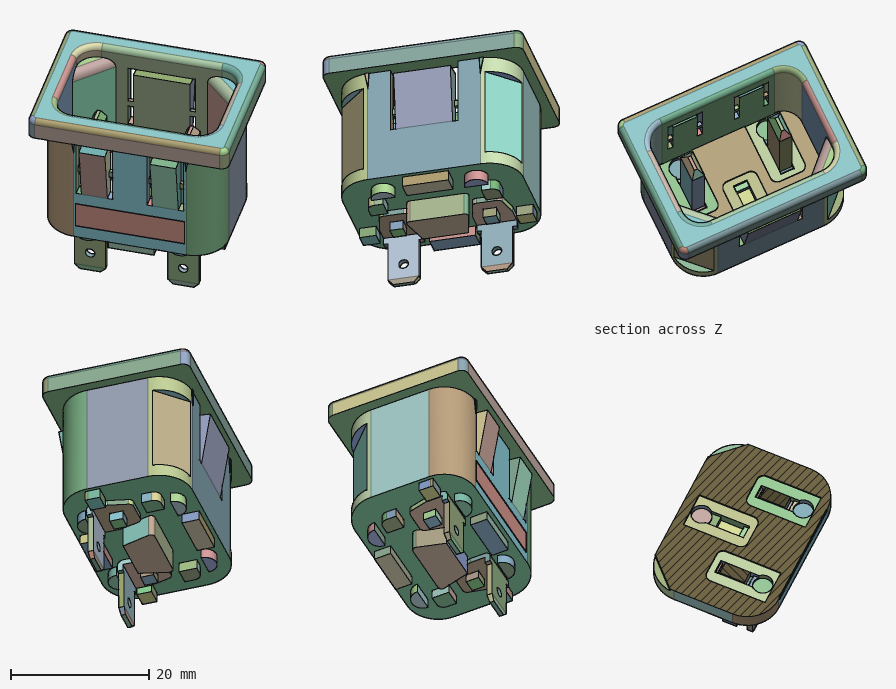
import cadquery as cq


FLANGE_X, FLANGE_Y, FLANGE_T = 30.0, 22.5, 3.2
FLANGE_CORNER_R = 1.15
FLANGE_EDGE_R = 0.75

SHELL_X, SHELL_Y, SHELL_CORNER_R = 27.02, 19.45, 5.05
CAVITY_X, CAVITY_Y, CAVITY_CORNER_R = 24.0, 16.2, 3.0
CAVITY_RIM_R = 0.82
BOTTOM_Z = -21.3
FLOOR_T = 2.57
FLOOR_Z = BOTTOM_Z + FLOOR_T
SHELL_FRONT = SHELL_Y / 2
CAVITY_FRONT = CAVITY_Y / 2

KEY_FACE_SUM = 15.0
KEY_TOP_Z = -2.0
KEY_EDGE_R = 1.33
CORNER_POCKET_SUM = 18.8
CORNER_POCKET_TOP_Z, CORNER_POCKET_BOTTOM_Z = -5.65, -19.35

WINDOW_BOTTOM_Z = -13.33
SNAP_GAP = 0.8
FRONT_SNAP_X, FRONT_SNAP_W = 5.32, 3.9
REAR_SNAP_W = 8.52
SNAP_REACH = 11.1
SNAP_TIP_OUTER_Z, SNAP_TIP_INNER_Z = -4.65, -4.3
WEB_TOP_Z, WEB_BOTTOM_Z, WEB_T = -9.2, -10.15, 0.6

LABEL_X, LABEL_Z, LABEL_DEPTH = 16.32, 4.05, 0.1
LABEL_TOP_Z = -15.3

CRUSH_RIB_INNER_X, CRUSH_RIB_OUTER_X, CRUSH_RIB_POINT_X = 8.25, 8.88, 8.4
CRUSH_RIB_H = 0.15
CRUSH_RIB_LEN = 2.63

PIN_SPACING = 13.95
PIN_XS = (-PIN_SPACING / 2, PIN_SPACING / 2)
PIN_Y = -2.05
PIN_X, PIN_LEN = 2.0, 4.0

PANEL_W, PANEL_END, PANEL_CORNER_R, PANEL_DEPTH = 5.45, 1.63, 1.03, 0.3
KEYHOLE_Y, KEYHOLE_R, KEYHOLE_R_DEPTH = 6.5, 1.5, 0.9
KEYHOLE_W, KEYHOLE_END, KEYHOLE_DEPTH = 2.12, 0.65, 0.6
LEDGE_END, LEDGE_LEN, LEDGE_DEPTH = 0.4, 4.93, 0.45
EARTH_POCKET_Y, EARTH_POCKET_LEN = 2.02, 3.7
EARTH_POCKET_DEPTH = 0.9

BOSS_H = 1.57
HALF_BOSS_R, BOSS_FLAT_Y = 1.75, 6.47
STRIP_X, STRIP_END = 6.9, 9.1
FOOT_INNER_X, FOOT_W, FOOT_END, FOOT_INSET = 10.5, 2.5, 5.1, 0.5
FRONT_FOOT_LEN = 2.25
REAR_FOOT_OUTER_X, REAR_FOOT_LEN, REAR_FOOT_R = 9.85, 2.7, 1.15
BLOCK_H, BLOCK_HALF_Y = 3.55, 2.55
BLOCK_FRONT_HALF_X, BLOCK_REAR_HALF_X, BLOCK_R = 3.4, 4.85, 0.6

PIN_TIP_Z, PIN_TAPER = -4.5, 1.5
PIN_TIP_X, PIN_TIP_LEN = 0.48, 2.2
PIN_TAIL_LEN, PIN_TAIL_DROP = 2.0, 2.25

TAB_T = 0.85
TAB_FRONT_Y = -5.92
TAB_BOTTOM_Z = -30.22
BLADE_W = 4.68
SHOULDER_W, SHOULDER_DROP = 5.98, 1.87
BEND_R = 0.9
PLATE_TAPER_Y, PLATE_END_Y, PLATE_END_W, PLATE_END_R = -2.75, 0.8, 4.23, 0.75
TIP_H, TIP_CORNER, TIP_FACE = 0.85, 0.8, 0.1
HOLE_D, HOLE_Z = 1.42, -27.0


def box(x_size, y_min, y_max, z_min, z_max, x=0.0):
    """Block centred on x, given by its limits along Y and Z."""
    centre = (x, (y_min + y_max) / 2, (z_min + z_max) / 2)
    return cq.Workplane().box(x_size, y_max - y_min, z_max - z_min).translate(centre)


def rounded_block(x_size, y_size, corner_r, z_min, z_max):
    block = box(x_size, -y_size / 2, y_size / 2, z_min, z_max)
    return block.edges("|Z").fillet(corner_r)


def corner_prism(face_sum, z_min, z_max):
    """Triangular prism covering the +X +Y corner behind the plane x + y = face_sum."""
    far = SHELL_X
    outline = [(face_sum - far, far), (far, far), (far, face_sum - far)]
    return cq.Workplane().workplane(offset=z_min).polyline(outline).close().extrude(z_max - z_min)


def both_sides(shape):
    return shape.union(shape.mirror("YZ"))


def front_and_rear(shape):
    return shape.union(shape.mirror("XZ"))



def shell():
    flange = rounded_block(FLANGE_X, FLANGE_Y, FLANGE_CORNER_R, -FLANGE_T, 0)
    flange = flange.faces(">Z").edges().fillet(FLANGE_EDGE_R)
    body = rounded_block(SHELL_X, SHELL_Y, SHELL_CORNER_R, BOTTOM_Z, -FLANGE_T)
    cavity = rounded_block(CAVITY_X, CAVITY_Y, CAVITY_CORNER_R, FLOOR_Z, 0)
    hollow = flange.union(body).cut(cavity)
    rim = hollow.faces(">Z").val().innerWires()[0]
    return hollow.newObject(rim.Edges()).fillet(CAVITY_RIM_R)


def corner_keys():
    key = corner_prism(KEY_FACE_SUM, FLOOR_Z, KEY_TOP_Z)
    key = key.faces(">Z").edges("<(1, 1, 0)").fillet(KEY_EDGE_R)
    inside = rounded_block(SHELL_X, SHELL_Y, SHELL_CORNER_R, FLOOR_Z, KEY_TOP_Z)
    return both_sides(key.intersect(inside))


def corner_pockets():
    pocket = corner_prism(CORNER_POCKET_SUM, CORNER_POCKET_BOTTOM_Z, CORNER_POCKET_TOP_Z)
    return both_sides(pocket)


def snap_window(x, arm_w):
    """Opening through the front wall around one snap arm."""
    return box(arm_w + 2 * SNAP_GAP, -SHELL_FRONT, -CAVITY_FRONT, WINDOW_BOTTOM_Z, -FLANGE_T, x)


def snap_arm(x, arm_w):
    """Wedge-shaped arm leaning out of the front wall, tied to the wall by a thin web."""
    profile = [
        (-CAVITY_FRONT, WINDOW_BOTTOM_Z),
        (-SHELL_FRONT, WINDOW_BOTTOM_Z),
        (-SNAP_REACH, SNAP_TIP_OUTER_Z),
        (-CAVITY_FRONT, SNAP_TIP_INNER_Z),
    ]
    arm = cq.Workplane("YZ").polyline(profile).close().extrude(arm_w / 2, both=True)
    web = box(arm_w + 2 * SNAP_GAP, -CAVITY_FRONT - WEB_T, -CAVITY_FRONT, WEB_BOTTOM_Z, WEB_TOP_Z)
    return arm.union(web).translate((x, 0, 0))


def add_snaps(housing):
    front_window = snap_window(FRONT_SNAP_X, FRONT_SNAP_W)
    front_arm = snap_arm(FRONT_SNAP_X, FRONT_SNAP_W)
    rear_window = snap_window(0, REAR_SNAP_W).mirror("XZ")
    rear_arm = snap_arm(0, REAR_SNAP_W).mirror("XZ")
    housing = housing.cut(both_sides(front_window)).cut(rear_window)
    return housing.union(both_sides(front_arm)).union(rear_arm)


def crush_ribs():
    outline = [
        (CRUSH_RIB_INNER_X, -FLANGE_T),
        (CRUSH_RIB_OUTER_X, -FLANGE_T),
        (CRUSH_RIB_POINT_X, -FLANGE_T - CRUSH_RIB_LEN),
    ]
    crest_y = SHELL_FRONT + CRUSH_RIB_H
    rib = cq.Workplane("XZ", origin=(0, crest_y, 0)).polyline(outline).close()
    rib = rib.extrude(crest_y - CAVITY_FRONT)
    return front_and_rear(both_sides(rib))


def label_recess():
    return box(LABEL_X, -SHELL_FRONT, -SHELL_FRONT + LABEL_DEPTH, LABEL_TOP_Z - LABEL_Z, LABEL_TOP_Z)


def contact_recess():
    """Panel recess against the front wall with a keyhole in it, for a contact at x = 0."""
    panel_z = FLOOR_Z - PANEL_DEPTH
    panel = box(PANEL_W, -CAVITY_FRONT, PANEL_END, panel_z, FLOOR_Z)
    panel = panel.edges("|Z and >Y").fillet(PANEL_CORNER_R)
    slot = box(KEYHOLE_W, -KEYHOLE_Y, KEYHOLE_END, panel_z - KEYHOLE_DEPTH, panel_z)
    round_end = cq.Workplane().workplane(offset=panel_z).center(0, -KEYHOLE_Y)
    round_end = round_end.circle(KEYHOLE_R).extrude(-KEYHOLE_R_DEPTH)
    return panel.union(slot).union(round_end)


def pin_recess():
    """Contact recess with a lower step around the pin."""
    ledge_top = FLOOR_Z - PANEL_DEPTH - KEYHOLE_DEPTH
    ledge = box(KEYHOLE_W, LEDGE_END - LEDGE_LEN, LEDGE_END, ledge_top - LEDGE_DEPTH, ledge_top)
    return contact_recess().union(ledge)


def earth_recess():
    """Contact recess against the rear wall with a blind pocket in place of a pin."""
    pocket_top = FLOOR_Z - PANEL_DEPTH - KEYHOLE_DEPTH
    pocket_start = EARTH_POCKET_Y - EARTH_POCKET_LEN / 2
    pocket_end = EARTH_POCKET_Y + EARTH_POCKET_LEN / 2
    pocket = box(KEYHOLE_W, pocket_start, pocket_end, pocket_top - EARTH_POCKET_DEPTH, pocket_top)
    return contact_recess().mirror("XZ").union(pocket)


def half_bosses():
    """Half-round bosses beside a strip, along the front and the rear of the underside."""
    boss = cq.Workplane().workplane(offset=BOTTOM_Z - BOSS_H).center(PIN_SPACING / 2, -BOSS_FLAT_Y)
    boss = boss.moveTo(-HALF_BOSS_R, 0).threePointArc((0, -HALF_BOSS_R), (HALF_BOSS_R, 0)).close()
    boss = boss.extrude(BOSS_H)
    strip = box(STRIP_X, -STRIP_END, -BOSS_FLAT_Y, BOTTOM_Z - BOSS_H, BOTTOM_Z)
    return front_and_rear(both_sides(boss).union(strip))


def feet():
    """Front feet that follow the shell outline, and rear feet nearer the middle."""
    foot_z = BOTTOM_Z - BOSS_H
    inset_outline = rounded_block(
        SHELL_X - 2 * FOOT_INSET, SHELL_Y - 2 * FOOT_INSET, SHELL_CORNER_R - FOOT_INSET, foot_z, BOTTOM_Z
    )
    front_x = FOOT_INNER_X + FOOT_W / 2
    front = box(FOOT_W, -FOOT_END, -FOOT_END + FRONT_FOOT_LEN, foot_z, BOTTOM_Z, front_x)
    front = front.intersect(inset_outline)
    rear_x = REAR_FOOT_OUTER_X - FOOT_W / 2
    rear = box(FOOT_W, FOOT_END - REAR_FOOT_LEN, FOOT_END, foot_z, BOTTOM_Z, rear_x)
    rear = rear.edges("|Z and >X and >Y").fillet(REAR_FOOT_R)
    return both_sides(front).union(both_sides(rear))


def centre_block():
    outline = [
        (-BLOCK_FRONT_HALF_X, -BLOCK_HALF_Y),
        (BLOCK_FRONT_HALF_X, -BLOCK_HALF_Y),
        (BLOCK_REAR_HALF_X, BLOCK_HALF_Y),
        (-BLOCK_REAR_HALF_X, BLOCK_HALF_Y),
    ]
    block = cq.Workplane().workplane(offset=BOTTOM_Z - BLOCK_H).polyline(outline).close().extrude(BLOCK_H)
    return block.edges("|Z and >Y").fillet(BLOCK_R)


def make_housing(pins):
    housing = shell().union(corner_keys()).cut(corner_pockets())
    housing = add_snaps(housing).union(crush_ribs()).cut(label_recess()).cut(earth_recess())
    for x in PIN_XS:
        housing = housing.cut(pin_recess().translate((x, 0, 0)))
    housing = housing.union(half_bosses()).union(feet()).union(centre_block())
    for pin in pins:
        housing = housing.cut(pin)
    return housing



def make_pin(x):
    """Flat contact pin with a tapered tip and a narrow tail that goes through the tab."""
    taper_z = PIN_TIP_Z - PIN_TAPER
    blade = box(PIN_X, -PIN_LEN / 2, PIN_LEN / 2, BOTTOM_Z, taper_z)
    tip = cq.Workplane().workplane(offset=taper_z).rect(PIN_X, PIN_LEN)
    tip = tip.workplane(offset=PIN_TAPER).rect(PIN_TIP_X, PIN_TIP_LEN).loft(ruled=True)
    tail = box(PIN_X, -PIN_TAIL_LEN / 2, PIN_TAIL_LEN / 2, BOTTOM_Z - PIN_TAIL_DROP, BOTTOM_Z)
    return blade.union(tip).union(tail).translate((x, PIN_Y, 0))



def make_tab(x, pin):
    """Bent tab: a plate under the floor and a blade hanging from its front edge."""
    tab_back_y = TAB_FRONT_Y + TAB_T
    plate_outline = [
        (-SHOULDER_W / 2, TAB_FRONT_Y),
        (SHOULDER_W / 2, TAB_FRONT_Y),
        (SHOULDER_W / 2, PLATE_TAPER_Y),
        (PLATE_END_W / 2, PLATE_END_Y),
        (-PLATE_END_W / 2, PLATE_END_Y),
        (-SHOULDER_W / 2, PLATE_TAPER_Y),
    ]
    plate = cq.Workplane().workplane(offset=BOTTOM_Z - TAB_T).polyline(plate_outline).close().extrude(TAB_T)
    plate = plate.edges("|Z and >Y").fillet(PLATE_END_R)
    shoulder = box(SHOULDER_W, TAB_FRONT_Y, tab_back_y, BOTTOM_Z - SHOULDER_DROP, BOTTOM_Z)
    bent = plate.union(shoulder).edges("|X and <Y and >Z").fillet(BEND_R)

    blade = box(BLADE_W, TAB_FRONT_Y, tab_back_y, TAB_BOTTOM_Z, BOTTOM_Z - SHOULDER_DROP)
    blade = blade.edges("|Y and <Z").chamfer(TIP_H, TIP_CORNER)
    blade = blade.cut(tip_bevels())
    hole = cq.Workplane("XZ", origin=(0, tab_back_y, HOLE_Z)).circle(HOLE_D / 2).extrude(TAB_T)
    return bent.union(blade).cut(hole).translate((x, 0, 0)).cut(pin)


def tip_bevels():
    """Thin wedges that narrow both faces of the blade towards its tip."""
    middle = TAB_FRONT_Y + TAB_T / 2
    half = TAB_T / 2
    wedge = [(half, TAB_BOTTOM_Z + TIP_H), (half, TAB_BOTTOM_Z), (half - TIP_FACE, TAB_BOTTOM_Z)]
    bevel = cq.Workplane("YZ").polyline(wedge).close().extrude(BLADE_W / 2, both=True)
    return front_and_rear(bevel).translate((0, middle, 0))



pins = [make_pin(x) for x in PIN_XS]
tabs = [make_tab(x, pin) for x, pin in zip(PIN_XS, pins)]
housing = make_housing(pins)

result = cq.Compound.makeCompound(
    [body.solids().val() for body in (housing, *pins, *tabs)]
)